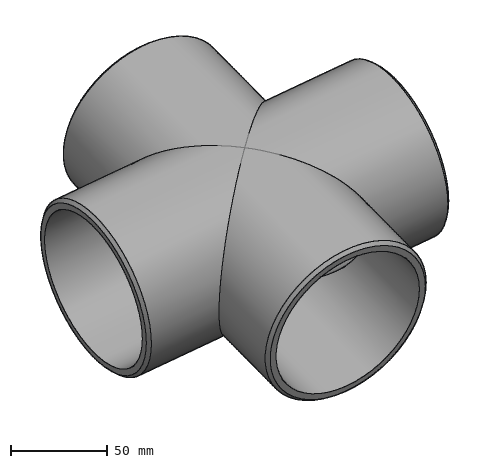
import cadquery as cq

length = 190.5
outer_diameter = 101.5
bore_diameter = 90.3
end_chamfer = 2.0


def centred_cylinder(plane, diameter):
    """Full-length cylinder centred on the origin, along the plane's normal."""
    return cq.Workplane(plane).circle(diameter / 2).extrude(length / 2, both=True)


def pipe_body(plane):
    """Solid pipe with the outer rim of both ends chamfered."""
    return centred_cylinder(plane, outer_diameter).faces("%PLANE").edges().chamfer(end_chamfer)


pipe_planes = ("XZ", "YZ")

result = pipe_body(pipe_planes[0]).union(pipe_body(pipe_planes[1]))
for plane in pipe_planes:
    result = result.cut(centred_cylinder(plane, bore_diameter))